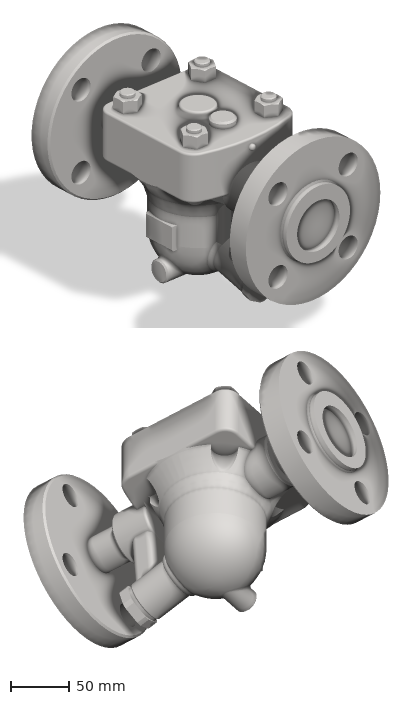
import cadquery as cq
import math

overall_length = 290.0
body_x = -10.2

flange_dia = 155.0
flange_thickness = 22.3
flange_chamfer = 1.7
face_dia = 73.0
face_height = 6.7
face_flare = 1.5
recess_dia = 48.7
recess_depth = 6.7
recess_z = -2.0
flange_hole_dia = 22.0
flange_hole_circle = 114.3
pipe_dia = 34.0
hub_dia = 50.0
hub_end_x = 84.0
hub_inner_x = 47.0
hub_chamfer = 1.7
hub_fillet = 2.5

head_left_x = -72.0
head_right_x = 59.0
head_half_width = 62.4
head_bottom_z = 1.0
head_top_z = 49.0
head_bulge_radius = 172.5
head_left_radius = 14.0
head_right_radius = 16.0
head_top_fillet = 2.0
head_bottom_fillet = 2.5

hexagon_half_angle = 30.0

bolt_offset = 43.0
nut_flats = 21.8
nut_height = 12.5
nut_chamfer_height = 1.0
nut_chamfer_width = 1.7
stud_dia = 14.0
stud_top_z = 65.2
stud_chamfer = 1.0
pocket_radius = 12.0

boss_top_z = 55.5
main_boss_dia = 33.0
main_boss_edge = 2.0
main_boss_root = 3.2
small_boss_dia = 24.0
small_boss_x = 21.8
small_boss_chamfer = 1.7
pin_radius = 3.2
pin_edge = 2.5
pin_end_x = 62.4
pin_z = 40.3

bowl_radius = 44.0
bowl_center_z = -62.4
shoulder_z = -32.2
neck_radius = 48.5
neck_z = -18.5
neck_mid_radius = 54.5
neck_mid_z = -9.3
neck_top_radius = 61.5
neck_top_z = -0.3
flare_radius = 65.2
flare_z = head_bottom_z + head_bottom_fillet

rib_face_x = 36.2
gap_fillet = 2.5
passage_width = 32.0
passage_radius = 6.5
riser_size = 23.2
riser_top_x = 60.3
riser_tilt = 4.0
riser_length = 75.5
riser_fillet = 1.5

branch_tilt = 15.0
branch_dia = 38.0
branch_end = 79.2
branch_chamfer = 1.2
branch_fillet = 5.8
plug_neck_dia = 35.5
plug_neck_length = 3.0
plug_dia = 40.0
plug_flats = 36.8
plug_thickness = 9.0

drain_dia = 22.0
drain_z = -92.8
drain_front_y = -45.2
drain_chamfer = 1.5
drain_fillet = 2.3
plate_width = 35.7
plate_height = 24.0
plate_z = -54.2
plate_front_y = -45.0
plate_back_y = -39.7
plate_chamfer = 1.0


def x_cylinder(dia, x_start, x_end):
    return cq.Workplane("YZ", origin=(x_start, 0, 0)).circle(dia / 2).extrude(x_end - x_start)


def z_cylinder(dia, z_bottom, z_top, x, y=0):
    return cq.Workplane("XY", origin=(x, y, z_bottom)).circle(dia / 2).extrude(z_top - z_bottom)


def hexagon_corners(flats):
    """Diameter through the corners of a hexagon of the given width across flats."""
    return flats / math.cos(math.radians(hexagon_half_angle))


def make_end_flange():
    """Flange with raised face at the -X end, including its pipe and bolt holes."""
    face_x = -overall_length / 2
    front_x = face_x + face_height
    back_x = front_x + flange_thickness
    flange = (
        cq.Workplane("XY")
        .moveTo(face_x, 0)
        .lineTo(face_x, face_dia / 2)
        .lineTo(front_x - face_flare, face_dia / 2)
        .lineTo(front_x, face_dia / 2 + face_flare)
        .lineTo(front_x, flange_dia / 2)
        .lineTo(back_x - flange_chamfer, flange_dia / 2)
        .lineTo(back_x, flange_dia / 2 - flange_chamfer)
        .lineTo(back_x, pipe_dia / 2)
        .lineTo(-hub_end_x, pipe_dia / 2)
        .lineTo(-hub_end_x, 0)
        .close()
        .revolve(360, (0, 0, 0), (1, 0, 0))
    )
    hole_pitch = flange_hole_circle / math.sqrt(2)
    holes = (
        cq.Workplane("YZ", origin=(front_x, 0, 0))
        .rect(hole_pitch, hole_pitch, forConstruction=True)
        .vertices()
        .circle(flange_hole_dia / 2)
        .extrude(flange_thickness)
    )
    recess = x_cylinder(recess_dia, face_x, face_x + recess_depth).translate((0, 0, recess_z))
    return flange.cut(holes).cut(recess)


def make_inlet_hub():
    return x_cylinder(hub_dia, -hub_end_x, body_x).faces("<X").chamfer(hub_chamfer)


def make_outlet_hub():
    hub = x_cylinder(hub_dia, hub_inner_x, hub_end_x)
    return hub.faces(">X").chamfer(hub_chamfer).faces("<X").edges().fillet(hub_fillet)


def make_head_prism(bottom_z, top_z):
    """Sharp-edged head: square with rounded corners and a bulged +X side."""
    bulge_drop = head_bulge_radius - math.sqrt(head_bulge_radius**2 - head_half_width**2)
    corner_x = head_right_x - bulge_drop
    prism = (
        cq.Workplane("XY", origin=(0, 0, bottom_z))
        .moveTo(head_left_x, -head_half_width)
        .lineTo(corner_x, -head_half_width)
        .threePointArc((head_right_x, 0), (corner_x, head_half_width))
        .lineTo(head_left_x, head_half_width)
        .close()
        .extrude(top_z - bottom_z)
    )
    prism = prism.edges("|Z").edges("<X").fillet(head_left_radius)
    return prism.edges("|Z").edges(">X").fillet(head_right_radius)


def make_head():
    head = make_head_prism(head_bottom_z, head_top_z).faces(">Z").edges().fillet(head_top_fillet)
    return head.faces("<Z").edges().fillet(head_bottom_fillet)


def bolt_places():
    """Centres of the four bolts, each with the turn of its nut in degrees."""
    for side_x in (-1, 1):
        for side_y in (-1, 1):
            nut_turn = 0 if side_x == side_y else hexagon_half_angle
            yield body_x + side_x * bolt_offset, side_y * bolt_offset, nut_turn


def make_nut_and_stud(x, y, turn):
    corner_dia = hexagon_corners(nut_flats)
    nut = (
        cq.Workplane("XY", origin=(0, 0, head_top_z))
        .polygon(6, corner_dia)
        .extrude(nut_height)
        .rotate((0, 0, 0), (0, 0, 1), turn)
        .translate((x, y, 0))
    )
    turned = z_cylinder(corner_dia, head_top_z, head_top_z + nut_height, x, y)
    turned = turned.faces(">Z").chamfer(nut_chamfer_height, nut_chamfer_width)
    stud = z_cylinder(stud_dia, head_top_z, stud_top_z, x, y).faces(">Z").chamfer(stud_chamfer)
    return nut.intersect(turned).union(stud)


def make_main_boss():
    """Round plug boss over the bowl, with a rounded rim and a filleted root."""
    radius = main_boss_dia / 2
    return (
        cq.Workplane("XZ", origin=(body_x, 0, 0))
        .moveTo(0, head_top_z)
        .lineTo(radius + main_boss_root, head_top_z)
        .radiusArc((radius, head_top_z + main_boss_root), main_boss_root)
        .lineTo(radius, boss_top_z - main_boss_edge)
        .radiusArc((radius - main_boss_edge, boss_top_z), -main_boss_edge)
        .lineTo(0, boss_top_z)
        .close()
        .revolve()
    )


def make_small_boss():
    boss = z_cylinder(small_boss_dia, head_top_z, boss_top_z, small_boss_x)
    return boss.faces(">Z").chamfer(small_boss_chamfer)


def make_side_pin():
    """Dome-ended pin on the bulged side of the cover."""
    pin = x_cylinder(2 * pin_radius, 0, pin_end_x).faces(">X").edges().fillet(pin_edge)
    return pin.translate((0, 0, pin_z))


def make_bowl():
    """Round bowl and flared neck, with the drain boss blended into its lower front."""
    bowl = (
        cq.Workplane("XZ", origin=(body_x, 0, 0))
        .moveTo(0, bowl_center_z - bowl_radius)
        .radiusArc((bowl_radius, bowl_center_z), -bowl_radius)
        .lineTo(bowl_radius, shoulder_z)
        .lineTo(neck_radius, neck_z)
        .threePointArc((neck_mid_radius, neck_mid_z), (neck_top_radius, neck_top_z))
        .lineTo(flare_radius, flare_z)
        .lineTo(0, flare_z)
        .close()
        .revolve()
    )
    drain = cq.Workplane("XZ", origin=(body_x, 0, drain_z)).circle(drain_dia / 2).extrude(-drain_front_y)
    bowl = bowl.union(drain.faces("<Y").chamfer(drain_chamfer))
    return bowl.edges("%BSPLINE").fillet(drain_fillet)


def trim_neck(body):
    """Keep the neck flare inside the head, and clear the bolts and the outlet hub."""
    body = body.intersect(make_head_prism(bowl_center_z - 2 * bowl_radius, head_top_z))
    for x, y, _ in bolt_places():
        body = body.cut(z_cylinder(2 * pocket_radius, neck_z, head_bottom_z, x, y))
    gap_length = hub_inner_x - rib_face_x
    gap_height = head_bottom_z - bowl_center_z
    gap = (
        cq.Workplane("XY", origin=(rib_face_x, 0, bowl_center_z))
        .box(gap_length, 2 * flare_radius, gap_height, centered=(False, True, False))
    )
    return body.cut(gap.faces(">Z").edges("|Y").fillet(gap_fillet))


def make_rib():
    """Upright passage wall on the outlet side of the bowl."""
    rib = (
        cq.Workplane("XY", origin=(body_x, 0, bowl_center_z))
        .box(rib_face_x - body_x, passage_width, flare_z - bowl_center_z, centered=(False, True, False))
    )
    return rib.edges("|Z and >X").fillet(passage_radius)


def make_riser():
    """Tilted rounded passage from the strainer branch up to the outlet hub."""
    riser = cq.Workplane("XY").box(riser_size, passage_width, riser_length, centered=(True, True, False))
    riser = riser.edges("|Z").fillet(passage_radius).translate((0, 0, -riser_length))
    return riser.rotate((0, 0, 0), (0, 1, 0), riser_tilt).translate((riser_top_x, 0, 0))


def make_branch():
    """Strainer branch from the bowl centre, flared at its root and closed by a hexagon plug."""
    radius = branch_dia / 2
    fillet_y = radius + branch_fillet
    fillet_x = math.sqrt((bowl_radius + branch_fillet) ** 2 - fillet_y**2)
    touch = bowl_radius / (bowl_radius + branch_fillet)
    plug_start = branch_end + plug_neck_length
    branch = (
        cq.Workplane("XY")
        .lineTo(0, touch * fillet_y)
        .lineTo(touch * fillet_x, touch * fillet_y)
        .radiusArc((fillet_x, radius), branch_fillet)
        .lineTo(branch_end - branch_chamfer, radius)
        .lineTo(branch_end, radius - branch_chamfer)
        .lineTo(branch_end, plug_neck_dia / 2)
        .lineTo(plug_start, plug_neck_dia / 2)
        .lineTo(plug_start, 0)
        .close()
        .revolve(360, (0, 0, 0), (1, 0, 0))
    )
    plug_hexagon = (
        cq.Workplane("YZ", origin=(plug_start, 0, 0))
        .polygon(6, hexagon_corners(plug_flats))
        .extrude(plug_thickness)
        .rotate((0, 0, 0), (1, 0, 0), hexagon_half_angle)
    )
    plug = plug_hexagon.intersect(x_cylinder(plug_dia, plug_start, plug_start + plug_thickness))
    branch = branch.union(plug).rotate((0, 0, 0), (0, 1, 0), branch_tilt)
    return branch.translate((body_x, 0, bowl_center_z))


def make_branch_with_riser():
    """Branch and riser joined, with a small fillet along their curved seam."""
    joined = make_branch().union(make_riser())
    return joined.edges("%BSPLINE or %ELLIPSE").fillet(riser_fillet)


def make_name_plate():
    depth = plate_back_y - plate_front_y
    plate = cq.Workplane("XY").box(plate_width, depth, plate_height)
    plate = plate.faces("<Y").chamfer(plate_chamfer)
    return plate.translate((body_x, plate_front_y + depth / 2, plate_z))


result = trim_neck(make_bowl()).union(make_head()).union(make_rib()).union(make_name_plate())
result = result.union(make_inlet_hub()).union(make_outlet_hub())
result = result.union(make_branch_with_riser())
for bolt_x, bolt_y, nut_turn in bolt_places():
    result = result.union(make_nut_and_stud(bolt_x, bolt_y, nut_turn))
result = result.union(make_main_boss()).union(make_small_boss()).union(make_side_pin())
end_flange = make_end_flange()
result = result.union(end_flange).union(end_flange.mirror("YZ"))